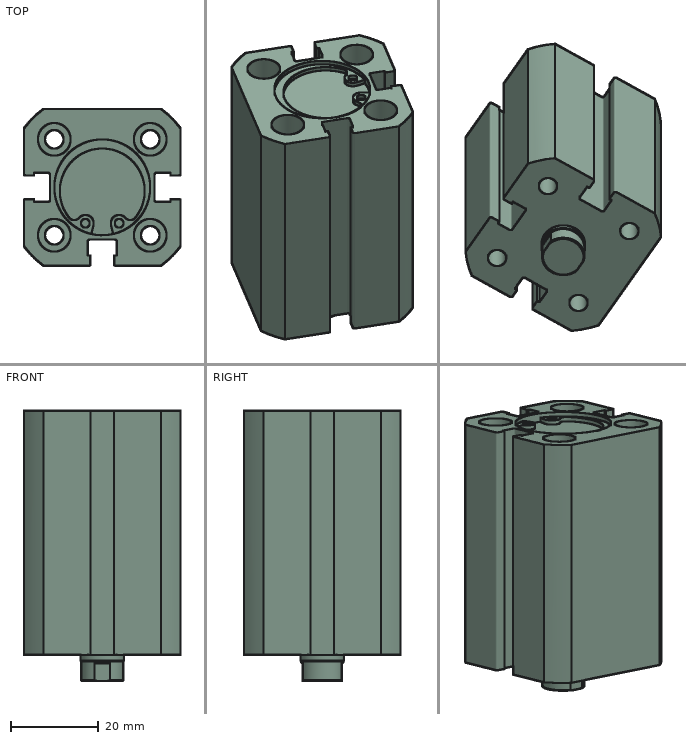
import cadquery as cq
import math

FULL_TURN = 2 * math.pi

BODY_WIDTH = 36.0
BODY_HEIGHT = 56.0
CORNER_TURN_DIA = 45.0

MOUNT_PITCH = 22.0
MOUNT_HOLE_DIA = 4.2
COUNTERBORE_DIA = 7.5
COUNTERBORE_DEPTH = 10.0

SLOT_MOUTH_WIDTH = 5.4
SLOT_INNER_WIDTH = 6.6
SLOT_LIP_DEPTH = 2.4
SLOT_DEPTH = 6.0
SLOT_ROUND = 0.4
SLOT_ANGLES = (0, 180, 270)

BORE_RADIUS = 11.0
RING_RECESS = 1.0
RING_THICKNESS = 1.0
CAP_THICKNESS = 5.0
CAP_TOP = BODY_HEIGHT - RING_RECESS - RING_THICKNESS
CAP_BOTTOM = CAP_TOP - CAP_THICKNESS

RING_INNER_RADIUS = 9.75
RING_INNER_OFFSET = 0.85
EAR_X = 3.87
EAR_Y = -8.24
EAR_RADIUS = 1.9
EAR_HOLE_DIA = 2.0
EAR_FILLET = 1.5

ROD_DIA = 10.0
ROD_PROJECTION = 6.0
ROD_STEP = 1.5
ROD_END_DIA = 9.7
ROD_END_CHAMFER = 0.2
ROD_SHOULDER_CHAMFER = (ROD_DIA - ROD_END_DIA) / 2
FLAT_DISTANCE = 9.0
FLAT_RAMP = (ROD_DIA - FLAT_DISTANCE) / 2


def polar(radius, angle, center=(0.0, 0.0)):
    """Point at the given radius and angle (radians) around a center."""
    return (center[0] + radius * math.cos(angle), center[1] + radius * math.sin(angle))


def direction(start, end):
    """Angle (radians) of the line from start to end."""
    return math.atan2(end[1] - start[1], end[0] - start[0])


def mirrored(point):
    """Point mirrored across the Y axis."""
    return (-point[0], point[1])


def make_slot():
    """T-slot along the full height, open toward +X, with rounded lips and floor corners."""
    face = BODY_WIDTH / 2
    lip = face - SLOT_LIP_DEPTH
    floor = face - SLOT_DEPTH
    mouth = SLOT_MOUTH_WIDTH / 2
    inner = SLOT_INNER_WIDTH / 2
    flare = mouth + SLOT_ROUND
    start = face - SLOT_ROUND
    bend = SLOT_ROUND * (1 - math.sqrt(0.5))
    return (
        cq.Workplane("XY")
        .moveTo(face, -flare)
        .threePointArc((face - bend, -mouth - bend), (start, -mouth))
        .lineTo(lip, -mouth)
        .lineTo(lip, -inner)
        .lineTo(floor + SLOT_ROUND, -inner)
        .threePointArc((floor + bend, -inner + bend), (floor, -inner + SLOT_ROUND))
        .lineTo(floor, inner - SLOT_ROUND)
        .threePointArc((floor + bend, inner - bend), (floor + SLOT_ROUND, inner))
        .lineTo(lip, inner)
        .lineTo(lip, mouth)
        .lineTo(start, mouth)
        .threePointArc((face - bend, mouth + bend), (face, flare))
        .close()
        .extrude(BODY_HEIGHT)
    )


def make_housing():
    """Profile body with slots, mounting holes, end cap bore and rod hole."""
    body = cq.Workplane("XY").rect(BODY_WIDTH, BODY_WIDTH).extrude(BODY_HEIGHT)
    body = body.intersect(cq.Workplane("XY").circle(CORNER_TURN_DIA / 2).extrude(BODY_HEIGHT))
    slot = make_slot()
    for angle in SLOT_ANGLES:
        body = body.cut(slot.rotate((0, 0, 0), (0, 0, 1), angle))
    body = (
        body.faces(">Z")
        .workplane(origin=(0, 0, BODY_HEIGHT))
        .rect(MOUNT_PITCH, MOUNT_PITCH, forConstruction=True)
        .vertices()
        .cboreHole(MOUNT_HOLE_DIA, COUNTERBORE_DIA, COUNTERBORE_DEPTH)
    )
    bore_depth = BODY_HEIGHT - CAP_BOTTOM
    bore = cq.Workplane("XY", origin=(0, 0, CAP_BOTTOM)).circle(BORE_RADIUS).extrude(bore_depth)
    rod_hole = cq.Workplane("XY").circle(ROD_DIA / 2).extrude(CAP_BOTTOM)
    return body.cut(bore).cut(rod_hole)


def make_end_cap():
    """Plain disc that closes the bore below the retaining ring."""
    return cq.Workplane("XY", origin=(0, 0, CAP_BOTTOM)).circle(BORE_RADIUS).extrude(CAP_THICKNESS)


def make_retaining_ring():
    """Circlip with an eccentric opening and two drilled ears beside the gap."""
    ear = (EAR_X, EAR_Y)
    opening = (0.0, -RING_INNER_OFFSET)

    ear_distance = math.hypot(EAR_X, EAR_Y)
    gap_angle = direction((0, 0), ear) - math.asin(EAR_RADIUS / ear_distance)
    gap_rim = polar(BORE_RADIUS, gap_angle)
    ear_start_angle = gap_angle - math.pi / 2
    ear_start = polar(EAR_RADIUS, ear_start_angle, ear)

    to_opening = RING_INNER_RADIUS - EAR_FILLET
    to_ear = EAR_RADIUS + EAR_FILLET
    span = math.dist(opening, ear)
    swing = math.acos((to_opening**2 + span**2 - to_ear**2) / (2 * to_opening * span))
    fillet_angle = direction(opening, ear) + swing
    fillet = polar(to_opening, fillet_angle, opening)
    ear_end_angle = direction(ear, fillet)
    ear_end = polar(EAR_RADIUS, ear_end_angle, ear)
    fillet_end = polar(RING_INNER_RADIUS, fillet_angle, opening)

    ear_middle = polar(EAR_RADIUS, (ear_start_angle + FULL_TURN + ear_end_angle) / 2, ear)
    fillet_middle = polar(EAR_FILLET, (ear_end_angle + math.pi + fillet_angle + FULL_TURN) / 2, fillet)
    opening_top = (0.0, RING_INNER_RADIUS - RING_INNER_OFFSET)

    ring = (
        cq.Workplane("XY", origin=(0, 0, CAP_TOP))
        .moveTo(*gap_rim)
        .lineTo(*ear_start)
        .threePointArc(ear_middle, ear_end)
        .threePointArc(fillet_middle, fillet_end)
        .threePointArc(opening_top, mirrored(fillet_end))
        .threePointArc(mirrored(fillet_middle), mirrored(ear_end))
        .threePointArc(mirrored(ear_middle), mirrored(ear_start))
        .lineTo(*mirrored(gap_rim))
        .threePointArc((0, BORE_RADIUS), gap_rim)
        .close()
        .extrude(RING_THICKNESS)
    )
    ear_holes = (
        cq.Workplane("XY", origin=(0, 0, CAP_TOP))
        .pushPoints([ear, mirrored(ear)])
        .circle(EAR_HOLE_DIA / 2)
        .extrude(RING_THICKNESS)
    )
    return ring.cut(ear_holes)


def make_piston_rod():
    """Round rod with a stepped end and -Y and +Y wrench flats ending in 45 degree ramps."""
    shank = (
        cq.Workplane("XY", origin=(0, 0, -ROD_STEP))
        .circle(ROD_DIA / 2)
        .extrude(CAP_BOTTOM + ROD_STEP)
        .faces("<Z")
        .chamfer(ROD_SHOULDER_CHAMFER)
    )
    end = (
        cq.Workplane("XY", origin=(0, 0, -ROD_PROJECTION))
        .circle(ROD_END_DIA / 2)
        .extrude(ROD_PROJECTION)
        .faces("<Z")
        .chamfer(ROD_END_CHAMFER)
    )
    rod = shank.union(end)

    flat_cut = (
        cq.Workplane("YZ")
        .moveTo(-ROD_DIA / 2, -ROD_STEP)
        .lineTo(-FLAT_DISTANCE / 2, -ROD_STEP - FLAT_RAMP)
        .lineTo(-FLAT_DISTANCE / 2, -ROD_PROJECTION)
        .lineTo(-ROD_DIA / 2, -ROD_PROJECTION)
        .close()
        .extrude(ROD_DIA / 2, both=True)
    )
    return rod.cut(flat_cut).cut(flat_cut.mirror("XZ"))


housing = make_housing()
end_cap = make_end_cap()
retaining_ring = make_retaining_ring()
piston_rod = make_piston_rod()

result = cq.Compound.makeCompound([
    housing.val(),
    end_cap.val(),
    retaining_ring.val(),
    piston_rod.val(),
])